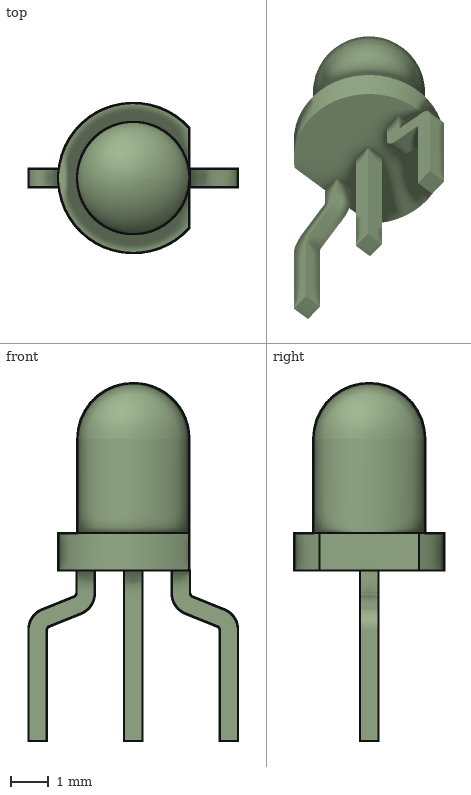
import cadquery as cq
import math


total_height = 9.53
lens_radius = 1.5
lens_straight_height = 2.5
flange_radius = 2.0
flange_height = 1.0
flange_flat_x = lens_radius

lead_thickness = 0.5
lead_x_at_flange = 1.27
lead_x_at_tip = 2.54
lead_length = total_height - flange_height - lens_straight_height - lens_radius
lead_top_drop = 0.6
bend_inner_radius = 0.1
bend_angle = math.radians(68)

bend_radius = bend_inner_radius + lead_thickness / 2
bend_run = bend_radius * (1 - math.cos(bend_angle))
bend_drop = bend_radius * math.sin(bend_angle)
slope_run = lead_x_at_tip - lead_x_at_flange - 2 * bend_run
slope_drop = slope_run / math.tan(bend_angle)


def make_housing():
    """Domed lens on a round flange that has a flat on its +X side."""
    flange = cq.Workplane("XY").circle(flange_radius).extrude(flange_height)
    flat_cutter = (
        cq.Workplane("XY")
        .box(flange_radius, 2 * flange_radius, flange_height, centered=(False, True, False))
        .translate((flange_flat_x, 0, 0))
    )
    lens_shoulder = flange_height + lens_straight_height
    lens_tip = lens_shoulder + lens_radius
    dome_mid = lens_radius * math.sqrt(0.5)
    lens = (
        cq.Workplane("XZ")
        .moveTo(0, flange_height)
        .lineTo(lens_radius, flange_height)
        .lineTo(lens_radius, lens_shoulder)
        .threePointArc((dome_mid, lens_shoulder + dome_mid), (0, lens_tip))
        .close()
        .revolve(360, (0, 0, 0), (0, 1, 0))
    )
    return flange.cut(flat_cutter).union(lens)


def make_center_lead():
    """Straight square lead on the lens axis."""
    return cq.Workplane("XY").rect(lead_thickness, lead_thickness).extrude(-lead_length)


def make_bent_lead(side):
    """Square lead that steps outward below the flange; side is +1 or -1 along X."""
    half_angle = bend_angle / 2
    half_bend_run = bend_radius * (1 - math.cos(half_angle))
    half_bend_drop = bend_radius * math.sin(half_angle)

    upper_bend_start = (side * lead_x_at_flange, -lead_top_drop)
    upper_bend_mid = (upper_bend_start[0] + side * half_bend_run, upper_bend_start[1] - half_bend_drop)
    upper_bend_end = (upper_bend_start[0] + side * bend_run, upper_bend_start[1] - bend_drop)
    lower_bend_start = (upper_bend_end[0] + side * slope_run, upper_bend_end[1] - slope_drop)
    lower_bend_end = (side * lead_x_at_tip, lower_bend_start[1] - bend_drop)
    lower_bend_mid = (lower_bend_end[0] - side * half_bend_run, lower_bend_end[1] + half_bend_drop)

    centerline = (
        cq.Workplane("XZ")
        .moveTo(side * lead_x_at_flange, 0)
        .lineTo(*upper_bend_start)
        .threePointArc(upper_bend_mid, upper_bend_end)
        .lineTo(*lower_bend_start)
        .threePointArc(lower_bend_mid, lower_bend_end)
        .lineTo(side * lead_x_at_tip, -lead_length)
    )
    return (
        cq.Workplane("XY")
        .center(side * lead_x_at_flange, 0)
        .rect(lead_thickness, lead_thickness)
        .sweep(centerline)
    )


housing = make_housing()
center_lead = make_center_lead()
bent_leads = [make_bent_lead(side) for side in (-1, 1)]

result = cq.Compound.makeCompound(
    [housing.val(), center_lead.val(), *[lead.val() for lead in bent_leads]]
)